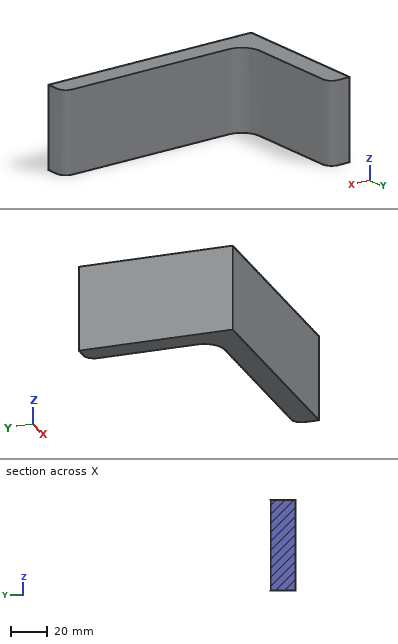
import cadquery as cq

long_leg = 140.0
short_leg = 90.0
length = 50.0
thickness = 14.0
root_radius = 12.0
toe_radius = 6.0

long_plate = cq.Workplane("XY").box(long_leg, thickness, length, centered=False)
short_plate = cq.Workplane("XY").box(thickness, short_leg, length, centered=False)
angle = long_plate.union(short_plate)


def round_edge(body, x, y, radius):
    """Round the vertical edge of the body that passes through (x, y)."""
    edge = cq.selectors.NearestToPointSelector((x, y, length / 2))
    return body.edges("|Z").edges(edge).fillet(radius)


angle = round_edge(angle, thickness, thickness, root_radius)
angle = round_edge(angle, long_leg, thickness, toe_radius)
angle = round_edge(angle, thickness, short_leg, toe_radius)

result = angle